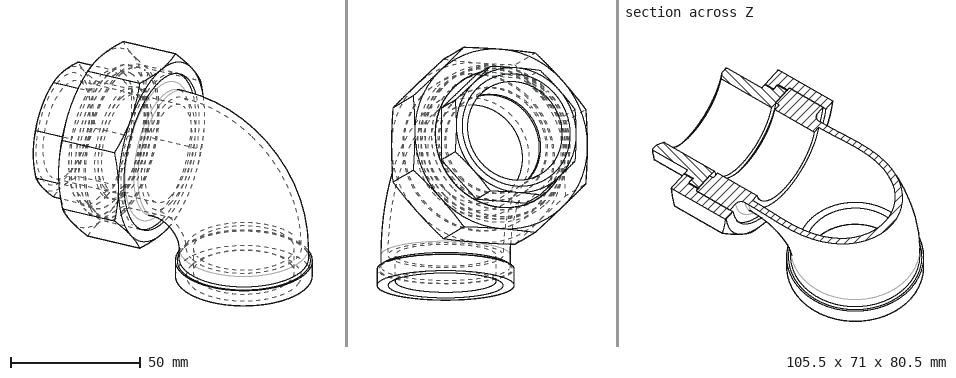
import cadquery as cq
import math


flat_count = 8
bore_dia = 38.9
mouth_dia = 44.4
chamfer_slope = math.tan(math.radians(30))
mouth_depth = (mouth_dia - bore_dia) / 2 * chamfer_slope

nut_flats = 71.0
nut_start = 16.9
nut_end = 43.0
nut_lip_bore = 54.3
nut_flange_bore = 59.8
nut_thread_bore = 62.0
nut_lip_thickness = 4.2
nut_seat = nut_start + nut_lip_thickness

tail_flats = 49.3
tail_collar_dia = 54.1
tail_flange_dia = 59.4
tail_end = 25.6

pipe_dia = 50.0
pipe_rad = pipe_dia / 2
bend_rad = 33.0
head_end = 41.7
neck_fillet = 2.5
cavity_dia = 44.5
gasket_recess_depth = 1.5
overall_length = 105.5
overall_height = 80.5
band_dia = 53.0
band_height = 6.5
band_cone_dia = 51.5
band_cone_height = 1.0
outlet_depth = overall_height - nut_flats / 2
outlet_x = overall_length - band_dia / 2


def cylinder(dia, start, end):
    """Cylinder about the X axis between two X positions."""
    return cq.Workplane("YZ").workplane(offset=start).circle(dia / 2).extrude(end - start)


def revolve_about_x(points):
    """Solid of revolution about the X axis from (x, radius) points."""
    return cq.Workplane("XY").polyline(points).close().revolve(360, (0, 0), (1, 0))


def octagon_bar(flats, start, end, crown_end):
    """Octagonal bar with its corners crowned at the start, and also at the end if asked."""
    corner_rad = flats / 2 / math.cos(math.pi / flat_count)
    crown_depth = (corner_rad - flats / 2) * chamfer_slope
    bar = (
        cq.Workplane("YZ").workplane(offset=start)
        .transformed(rotate=(0, 0, 180 / flat_count))
        .polygon(flat_count, 2 * corner_rad)
        .extrude(end - start)
    )
    outline = [(start, 0), (start, flats / 2), (start + crown_depth, corner_rad)]
    if crown_end:
        outline += [(end - crown_depth, corner_rad), (end, flats / 2)]
    else:
        outline += [(end, corner_rad)]
    outline += [(end, 0)]
    return bar.intersect(revolve_about_x(outline))


def make_nut():
    nut = octagon_bar(nut_flats, nut_start, nut_end, True)
    nut = nut.cut(cylinder(nut_lip_bore, nut_start, nut_seat))
    nut = nut.cut(cylinder(nut_flange_bore, nut_seat, tail_end))
    return nut.cut(cylinder(nut_thread_bore, tail_end, nut_end))


def make_tailpiece():
    tail = octagon_bar(tail_flats, 0, nut_start, False)
    tail = tail.union(cylinder(tail_collar_dia, nut_start, nut_seat))
    tail = tail.union(cylinder(tail_flange_dia, nut_seat, tail_end))
    tail = tail.cut(cylinder(bore_dia, 0, tail_end))
    mouth = revolve_about_x([(0, 0), (0, mouth_dia / 2), (mouth_depth, bore_dia / 2), (mouth_depth, 0)])
    return tail.cut(mouth)


def swept_pipe(straight_dia, bend_dia):
    """Round bar through the elbow, whose bend may differ in diameter from its straight ends."""
    bend_x = outlet_x - bend_rad
    inlet = cylinder(straight_dia, tail_end, bend_x)
    bend = (
        cq.Workplane("YZ").workplane(offset=bend_x).circle(bend_dia / 2)
        .revolve(90, (0, -bend_rad), (1, -bend_rad))
    )
    leg = (
        cq.Workplane("XY", origin=(outlet_x, 0, -outlet_depth)).circle(straight_dia / 2)
        .extrude(outlet_depth - bend_rad)
    )
    return inlet.union(bend).union(leg)


def make_head():
    """Threaded head with a filleted neck leading into the pipe."""
    neck_end = head_end + neck_fillet
    arc_offset = neck_fillet * (1 - math.sqrt(0.5))
    return (
        cq.Workplane("XY").moveTo(tail_end, 0)
        .lineTo(tail_end, nut_thread_bore / 2)
        .lineTo(head_end, nut_thread_bore / 2)
        .lineTo(head_end, pipe_rad + neck_fillet)
        .threePointArc((head_end + arc_offset, pipe_rad + arc_offset), (neck_end, pipe_rad))
        .lineTo(neck_end, 0)
        .close()
        .revolve(360, (0, 0), (1, 0))
    )


def make_outlet_band():
    """Band around the outlet with a short cone up to the pipe."""
    band_top = band_height - outlet_depth
    return (
        cq.Workplane("XZ", origin=(outlet_x, 0, 0))
        .polyline([
            (0, -outlet_depth),
            (band_dia / 2, -outlet_depth),
            (band_dia / 2, band_top),
            (band_cone_dia / 2, band_top),
            (pipe_rad, band_top + band_cone_height),
            (0, band_top + band_cone_height),
        ])
        .close()
        .revolve(360, (0, 0), (0, 1))
    )


def make_outlet_mouth():
    """Cone that widens the bore at the outlet face."""
    return (
        cq.Workplane("XZ", origin=(outlet_x, 0, -outlet_depth))
        .polyline([(0, 0), (mouth_dia / 2, 0), (bore_dia / 2, mouth_depth), (0, mouth_depth)])
        .close()
        .revolve(360, (0, 0), (0, 1))
    )


def make_elbow():
    elbow = swept_pipe(pipe_dia, pipe_dia).union(make_head()).union(make_outlet_band())
    elbow = elbow.cut(swept_pipe(bore_dia, cavity_dia))
    elbow = elbow.cut(cylinder(cavity_dia, tail_end, tail_end + gasket_recess_depth))
    return elbow.cut(make_outlet_mouth())


nut = make_nut()
tailpiece = make_tailpiece()
elbow = make_elbow()

result = cq.Compound.makeCompound([nut.val(), tailpiece.val(), elbow.val()])